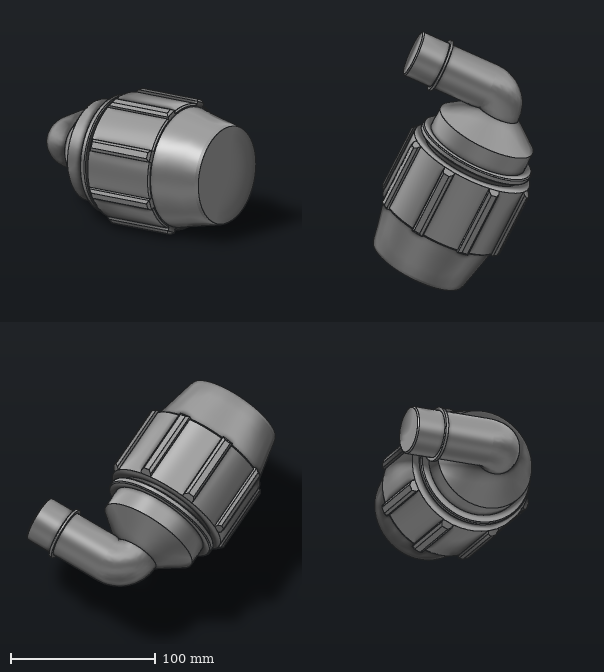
import cadquery as cq


pipe_radius = 16.63
pipe_end_y = 71.0
pipe_end_chamfer = 1.0
collar_radius = 19.1
collar_start_y = 48.8
collar_width = 1.9

bend_radius = 13.4

cone_end_x = 29.6
body_radius = 36.0
flange_radius = 41.77
flange_start_x = 44.0
flange_width = 4.5
flange_chamfer = 0.8

nut_start_x = 53.0
nut_end_x = 105.0
nut_radius = 44.5
nut_chamfer = 1.1
taper_start_radius = 42.5
taper_end_radius = 35.5
end_x = 140.0
end_chamfer_length = 2.2
end_chamfer_depth = 1.0

rib_count = 8
rib_half_base = 4.1
rib_half_top = 2.2
rib_shoulder_radius = 46.1
rib_top_radius = 47.97
rib_root_radius = 41.4
rib_front_slope = 3.2
rib_back_slope = 1.6
rib_back_radius = 46.1


def revolve_about_x(points):
    """Revolve a closed (x, radius) outline around the main axis."""
    return cq.Workplane("XY").polyline(points).close().revolve(360, (0, 0, 0), (1, 0, 0))


def make_side_pipe():
    pipe = (
        cq.Workplane("XZ", origin=(0, bend_radius, 0))
        .circle(pipe_radius)
        .extrude(bend_radius - pipe_end_y)
        .faces(">Y")
        .chamfer(pipe_end_chamfer)
    )
    collar = (
        cq.Workplane("XZ", origin=(0, collar_start_y, 0))
        .circle(collar_radius)
        .extrude(-collar_width)
    )
    return pipe.union(collar)


def make_elbow():
    half_chord = (pipe_radius**2 - bend_radius**2) ** 0.5
    return (
        cq.Workplane("XZ", origin=(0, bend_radius, 0))
        .moveTo(bend_radius, -half_chord)
        .threePointArc((-pipe_radius, 0), (bend_radius, half_chord))
        .close()
        .revolve(90, (bend_radius, 0), (bend_radius, 1))
    )


def make_body():
    body = revolve_about_x([
        (bend_radius, 0),
        (bend_radius, pipe_radius),
        (cone_end_x, body_radius),
        (nut_start_x, body_radius),
        (nut_start_x, 0),
    ])
    flange = (
        cq.Workplane("YZ", origin=(flange_start_x, 0, 0))
        .circle(flange_radius)
        .extrude(flange_width)
        .edges()
        .chamfer(flange_chamfer)
    )
    return body.union(flange)


def make_nut():
    return revolve_about_x([
        (nut_start_x, 0),
        (nut_start_x, nut_radius),
        (nut_end_x - nut_chamfer, nut_radius),
        (nut_end_x, nut_radius - nut_chamfer),
        (nut_end_x, taper_start_radius),
        (end_x - end_chamfer_length, taper_end_radius),
        (end_x, taper_end_radius - end_chamfer_depth),
        (end_x, 0),
    ])


def make_ribs():
    pitch = 360 / rib_count
    rib = (
        cq.Workplane("YZ", origin=(nut_start_x, 0, 0))
        .polyline([
            (-rib_half_base, rib_root_radius),
            (-rib_half_base, rib_shoulder_radius),
            (-rib_half_top, rib_top_radius),
            (rib_half_top, rib_top_radius),
            (rib_half_base, rib_shoulder_radius),
            (rib_half_base, rib_root_radius),
        ])
        .close()
        .extrude(nut_end_x - nut_start_x)
    )
    side_outline = (
        cq.Workplane("XZ")
        .polyline([
            (nut_start_x, rib_root_radius),
            (nut_start_x, nut_radius),
            (nut_start_x + rib_front_slope, rib_top_radius),
            (nut_end_x - rib_back_slope, rib_top_radius),
            (nut_end_x, rib_back_radius),
            (nut_end_x, rib_root_radius),
        ])
        .close()
        .extrude(rib_half_base, both=True)
    )
    rib = rib.intersect(side_outline)
    ribs = cq.Workplane("XY")
    for index in range(rib_count):
        angle = (index + 0.5) * pitch
        ribs = ribs.add(rib.rotate((0, 0, 0), (1, 0, 0), angle))
    return ribs


result = make_side_pipe().union(make_elbow()).union(make_body()).union(make_nut())
for grip_rib in make_ribs().vals():
    result = result.union(cq.Workplane(grip_rib))